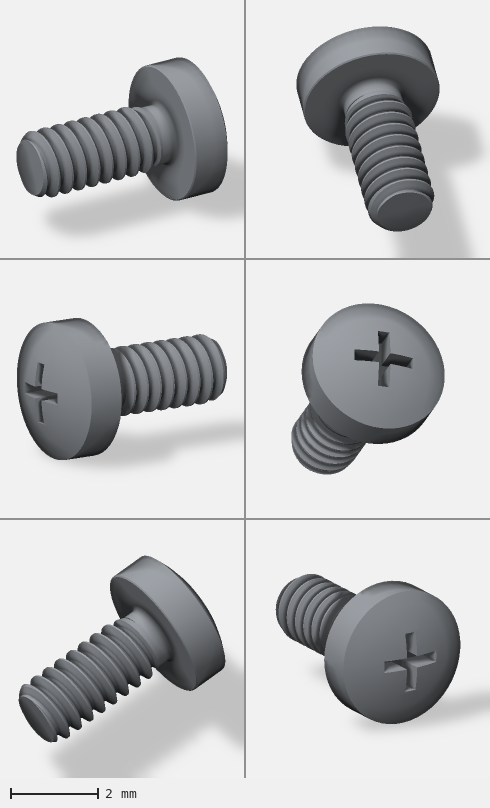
import cadquery as cq
import math


total_length = 4.78
shank_length = 3.5
head_diameter = 3.2
head_height = total_length - shank_length
dome_height = 0.445
head_edge_chamfer = 0.03

recess_span = 1.415
recess_width = 0.275
recess_depth = 0.67

pitch = shank_length / 10
neck_length = pitch
run_in_length = pitch

neck_diameter = 1.375
neck_fillet = 0.1

major_diameter = 1.6
flank_angle = math.radians(30)
crest_flat = pitch / 8
root_flat = pitch / 4
thread_depth = (pitch - crest_flat - root_flat) / 2 / math.tan(flank_angle)
tip_diameter = 1.33
tip_angle = math.radians(30)
tip_cone_height = 0.015
first_crest_z = -0.335
thread_overrun = 0.05
flank_points = 12

head_radius = head_diameter / 2
neck_radius = neck_diameter / 2
major_radius = major_diameter / 2
minor_radius = major_radius - thread_depth
tip_radius = tip_diameter / 2
apex_z = -shank_length
tip_z = apex_z + tip_cone_height
dome_radius = (head_radius**2 + dome_height**2) / (2 * dome_height)
corner_reach = recess_width / math.sqrt(2)
crown_z = head_height + dome_radius - math.sqrt(dome_radius**2 - corner_reach**2)


def revolve_about_axis(outline):
    """Revolve a closed outline of (radius, height) about the screw axis."""
    return outline.close().revolve(360, (0, 0, 0), (0, 1, 0))


def make_head_and_neck():
    rim_z = crown_z - dome_height
    half_angle = math.asin(head_radius / dome_radius) / 2
    dome_middle = (
        dome_radius * math.sin(half_angle),
        crown_z - dome_radius * (1 - math.cos(half_angle)),
    )
    fillet_middle = neck_fillet * (1 - math.sqrt(0.5))
    outline = (
        cq.Workplane("XZ")
        .moveTo(0, -neck_length)
        .lineTo(neck_radius, -neck_length)
        .lineTo(neck_radius, -neck_fillet)
        .threePointArc((neck_radius + fillet_middle, -fillet_middle), (neck_radius + neck_fillet, 0))
        .lineTo(head_radius - head_edge_chamfer, 0)
        .lineTo(head_radius, head_edge_chamfer)
        .lineTo(head_radius, rim_z)
        .threePointArc(dome_middle, (0, crown_z))
    )
    return revolve_about_axis(outline)


def make_recess():
    """Straight cross with a flat floor, cut from above the dome."""
    arm = cq.Workplane("XY").workplane(offset=crown_z - recess_depth)
    arm_x = arm.rect(recess_span, recess_width).extrude(recess_depth)
    arm_y = arm.rect(recess_width, recess_span).extrude(recess_depth)
    return arm_x.union(arm_y)


def make_thread_envelope():
    """Body that tapers the thread at its run-in and tip and clears it between them."""
    clear_radius = major_radius + thread_overrun
    tip_taper = (clear_radius - tip_radius) / math.tan(tip_angle)
    run_in_slope = run_in_length / (major_radius - neck_radius)
    run_in_taper = (clear_radius - neck_radius) * run_in_slope
    outline = (
        cq.Workplane("XZ")
        .moveTo(0, apex_z)
        .lineTo(minor_radius, tip_z)
        .lineTo(tip_radius, tip_z)
        .lineTo(clear_radius, tip_z + tip_taper)
        .lineTo(clear_radius, -neck_length - run_in_taper)
        .lineTo(neck_radius, -neck_length)
        .lineTo(0, -neck_length)
    )
    return revolve_about_axis(outline)


def polar_point(radius, angle):
    return (radius * math.cos(angle), radius * math.sin(angle))


def make_thread_section():
    """Cross-section of the thread square to its axis, with the crest towards +X.

    One turn of the section stands for one pitch of the thread profile: a crest arc,
    a root arc and two spirals where the straight flanks are cut.
    """
    crest_end = math.pi * crest_flat / pitch
    root_start = math.pi * (1 - root_flat / pitch)

    def falling_flank(t):
        radius = major_radius - t * thread_depth
        return polar_point(radius, crest_end + t * (root_start - crest_end))

    def rising_flank(t):
        x, y = falling_flank(1 - t)
        return (x, -y)

    return (
        cq.Workplane("XY")
        .moveTo(*polar_point(major_radius, -crest_end))
        .threePointArc((major_radius, 0), polar_point(major_radius, crest_end))
        .parametricCurve(falling_flank, N=flank_points, makeWire=False)
        .threePointArc((-minor_radius, 0), polar_point(minor_radius, -root_start))
        .parametricCurve(rising_flank, N=flank_points, makeWire=False)
        .wire()
    )


def make_threaded_shank():
    """Right-handed thread: the section twists one turn per pitch along the axis."""
    start_z = apex_z - thread_overrun
    rod_length = thread_overrun - neck_length - start_z
    crest_angle = 360 * (start_z - first_crest_z) / pitch
    rod = make_thread_section().twistExtrude(rod_length, 360 * rod_length / pitch)
    rod = rod.rotate((0, 0, 0), (0, 0, 1), crest_angle).translate((0, 0, start_z))
    return rod.intersect(make_thread_envelope())


head = make_head_and_neck().cut(make_recess())
screw = head.union(make_threaded_shank())
result = screw.rotate((0, 0, 0), (1, 0, 0), -90)